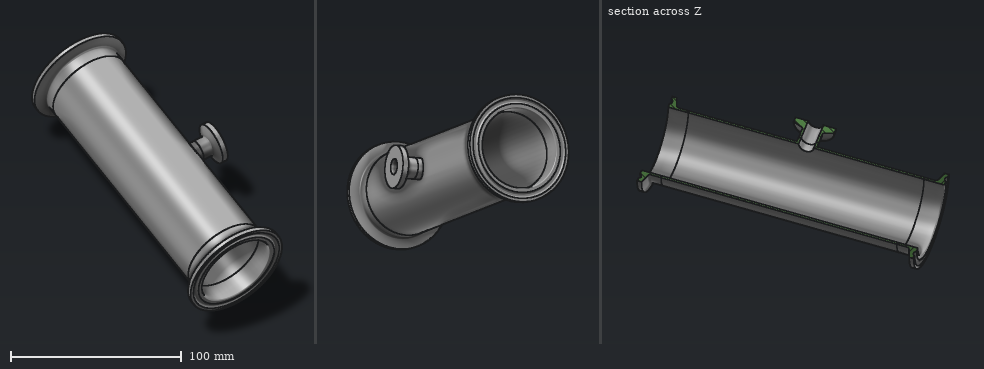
import cadquery as cq
import math

overall_length = 171.4
port_face_y = 41.3
wall = 1.75
ferrule_length = 12.7
flange_slope = 20.0

tube_outer_radius = 25.4
tube_bore_radius = tube_outer_radius - wall
tube_length = overall_length - 2 * ferrule_length

end_flange_radius = 63.89 / 2
end_rim_thickness = 2.85
end_neck_fillet = 1.65
end_bore_rounding = 0.9

groove_radius = 28.15
groove_half_width = 1.75
groove_wall_angle = 40.0
groove_bottom_radius = 1.55

port_outer_radius = 6.35
port_bore_radius = port_outer_radius - wall
port_flange_radius = 12.7
port_rim_thickness = 3.6
port_neck_fillet = 0.5
stub_end_y = port_face_y - ferrule_length


def make_ferrule(flange_radius, neck_radius, bore_radius, rim_thickness, neck_fillet):
    """Ferrule about the Z axis, with its flange face at Z = 0 and its neck toward +Z."""
    slope = math.radians(flange_slope)
    cone_end = rim_thickness + (flange_radius - neck_radius) * math.tan(slope)
    tangent_length = neck_fillet * math.tan((math.pi / 2 - slope) / 2)
    fillet_start = (
        neck_radius + tangent_length * math.cos(slope),
        cone_end - tangent_length * math.sin(slope),
    )
    fillet_end = (neck_radius, cone_end + tangent_length)
    center = (neck_radius + neck_fillet, fillet_end[1])
    mid_angle = (math.pi / 2 - slope) / 2
    fillet_mid = (
        center[0] - neck_fillet * math.cos(mid_angle),
        center[1] - neck_fillet * math.sin(mid_angle),
    )
    profile = (
        cq.Workplane("XZ")
        .moveTo(bore_radius, 0)
        .lineTo(flange_radius, 0)
        .lineTo(flange_radius, rim_thickness)
        .lineTo(*fillet_start)
        .threePointArc(fillet_mid, fillet_end)
        .lineTo(neck_radius, ferrule_length)
        .lineTo(bore_radius, ferrule_length)
        .close()
    )
    return profile.revolve(360, (0, 0, 0), (0, 1, 0))


def make_gasket_groove():
    """Ring with sloped walls and a round bottom, cut into a flange face at Z = 0."""
    angle = math.radians(groove_wall_angle)
    arc_half_width = groove_bottom_radius * math.cos(angle)
    wall_depth = (groove_half_width - arc_half_width) / math.tan(angle)
    depth = wall_depth + groove_bottom_radius * (1 - math.sin(angle))
    profile = (
        cq.Workplane("XZ")
        .moveTo(groove_radius - groove_half_width, 0)
        .lineTo(groove_radius - arc_half_width, wall_depth)
        .threePointArc((groove_radius, depth), (groove_radius + arc_half_width, wall_depth))
        .lineTo(groove_radius + groove_half_width, 0)
        .close()
    )
    return profile.revolve(360, (0, 0, 0), (0, 1, 0))


def make_end_ferrule(side):
    """Grooved ferrule at the -X end (side = -1) or the +X end (side = 1) of the tube."""
    ferrule = make_ferrule(
        end_flange_radius, tube_outer_radius, tube_bore_radius, end_rim_thickness, end_neck_fillet
    )
    ferrule = ferrule.cut(make_gasket_groove())
    bore_edge = cq.selectors.RadiusNthSelector(0)
    ferrule = ferrule.faces("<Z").edges(bore_edge).fillet(end_bore_rounding)
    ferrule = ferrule.rotate((0, 0, 0), (0, 1, 0), -side * 90)
    return ferrule.translate((side * overall_length / 2, 0, 0))


def make_port_ferrule():
    """Small ferrule on the end of the tube's side stub, with its face toward +Y."""
    ferrule = make_ferrule(
        port_flange_radius, port_outer_radius, port_bore_radius, port_rim_thickness, port_neck_fillet
    )
    return ferrule.rotate((0, 0, 0), (1, 0, 0), 90).translate((0, port_face_y, 0))


def make_tube():
    """Main tube with a short side stub whose bore opens into the tube's bore."""
    along_x = cq.Workplane("YZ").workplane(offset=-tube_length / 2)
    body = along_x.circle(tube_outer_radius).extrude(tube_length)
    bore = along_x.circle(tube_bore_radius).extrude(tube_length)
    along_y = cq.Workplane("XZ")
    stub = along_y.circle(port_outer_radius).extrude(-stub_end_y)
    stub_bore = along_y.circle(port_bore_radius).extrude(-stub_end_y)
    return body.union(stub).cut(bore).cut(stub_bore)


tube = make_tube()
end_ferrules = [make_end_ferrule(side) for side in (-1, 1)]
port_ferrule = make_port_ferrule()

result = cq.Compound.makeCompound(
    [tube.val(), *[ferrule.val() for ferrule in end_ferrules], port_ferrule.val()]
)